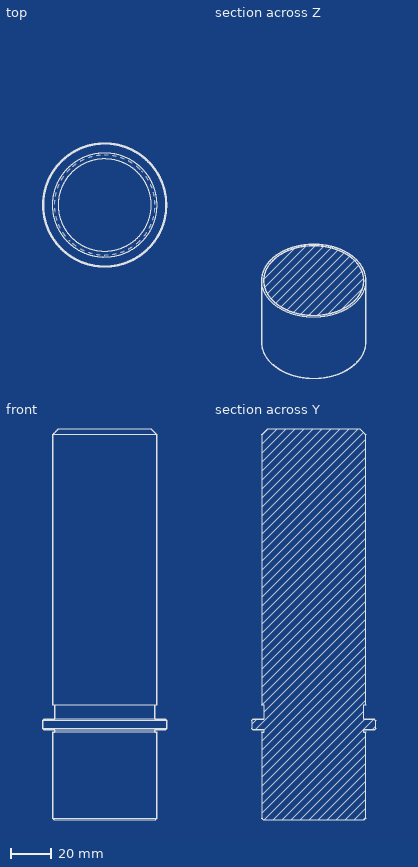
import cadquery as cq

total_length = 195.0
body_diameter = 52.0
neck_diameter = 50.0
flange_diameter = 62.0

lower_body_top = 43.9
flange_bottom = 45.0
flange_top = 50.3
neck_top = 57.3

top_chamfer = 3.0
bottom_chamfer = 1.0
flange_chamfer = 0.5


def cylinder(diameter, bottom, top):
    """Solid cylinder on the Z axis between two heights."""
    return cq.Workplane("XY").workplane(offset=bottom).circle(diameter / 2).extrude(top - bottom)


lower_body = cylinder(body_diameter, 0, lower_body_top).faces("<Z").chamfer(bottom_chamfer)

neck = cylinder(neck_diameter, lower_body_top, neck_top)

flange = cylinder(flange_diameter, flange_bottom, flange_top).edges().chamfer(flange_chamfer)

upper_body = cylinder(body_diameter, neck_top, total_length).faces(">Z").chamfer(top_chamfer)

result = lower_body.union(neck).union(flange).union(upper_body)